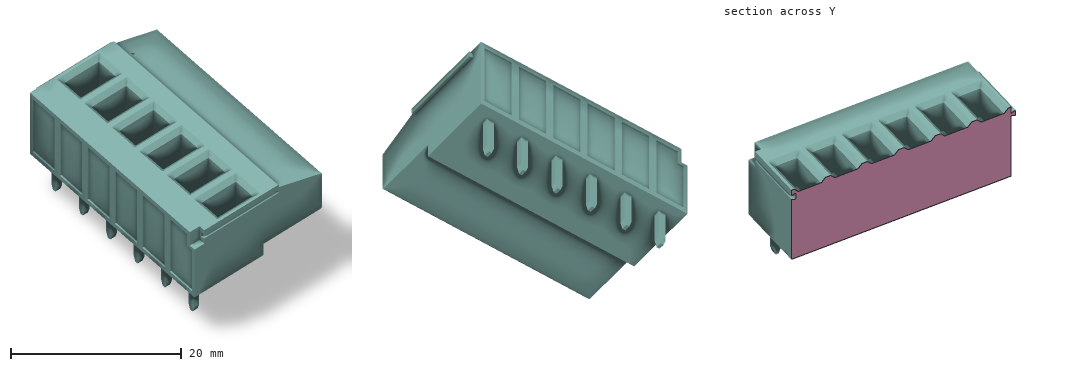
import cadquery as cq
import math


overall_length = 30.6
overall_height = 15.9
ways = 6
rib_reach = 0.6
body_length = overall_length - rib_reach
pitch = body_length / ways
way_centres = [(way + 0.5) * pitch for way in range(ways)]

body_depth = 19.5
body_height = 10.53
foot_depth = 10.53
rear_underside = 1.93
rear_fillet = 0.25
step_y = 12.9
step_drop = 0.45
step_fillet = 0.2
slope_angle = 18.0
slope_top = body_height - step_drop
slope_foot = slope_top - (body_depth - step_y) * math.tan(math.radians(slope_angle))
front_plate = 1.5

rib_height = 0.85
rib_top_margin = 0.73
rib_top = body_height - rib_top_margin
rib_bottom = rib_top - rib_height
rib_flare = 0.18

panel_width = 4.0
panel_height = 9.05
panel_depth = 0.2
panel_bottom = (body_height - panel_height) / 2
panel_side_margin = (pitch - panel_width) / 2
notch_width = 0.85
notch_height = 2.3
notch_wall_below = 0.43

opening_width = 4.25
opening_length = 6.52
opening_taper = 0.6
opening_front = 3.8
opening_y = opening_front + opening_length / 2
taper_depth = 0.6
well_depth = 4.9

pin_width = 1.0
pin_thickness = 0.8
pin_y = 2.0
pin_length = overall_height - body_height
tip_height = 0.85
tip_width = 0.43

mark_width = 0.55
mark_height = 0.4
mark_y = 13.5
mark_depth = 0.1


def box(x, y, z, length, depth, height):
    """Box with its lowest corner at (x, y, z)."""
    return cq.Workplane("XY").box(length, depth, height, centered=False).translate((x, y, z))


def make_housing():
    outline = [
        (0, 0),
        (foot_depth, 0),
        (foot_depth, rear_underside),
        (body_depth, rear_underside),
        (body_depth, slope_foot),
        (step_y, slope_top),
        (step_y, body_height),
        (0, body_height),
    ]
    housing = cq.Workplane("YZ").polyline(outline).close().extrude(body_length)
    housing = housing.faces(">Y").edges("|X").fillet(rear_fillet)
    return housing.faces(">Z").edges(">Y").fillet(step_fillet)


def make_dovetail(outer_x):
    """Bar along Y that is widest at outer_x and narrows towards +X."""
    root_x = outer_x + rib_reach
    section = [
        (outer_x, rib_bottom),
        (root_x, rib_bottom + rib_flare),
        (root_x, rib_top - rib_flare),
        (outer_x, rib_top),
    ]
    bar = cq.Workplane("XZ").polyline(section).close().extrude(front_plate - step_y)
    return bar.translate((0, front_plate, 0))


def make_end_notch():
    """Corner gap in the front plate that lets a neighbour's rib slide in."""
    return box(
        body_length - notch_width, 0, body_height - notch_height,
        notch_width, front_plate, notch_height,
    )


def make_panels():
    panels = cq.Workplane("XY")
    for x in way_centres:
        panels = panels.add(
            box(x - panel_width / 2, 0, panel_bottom, panel_width, panel_depth, panel_height)
        )
    panels = panels.combine()
    wall_x = body_length - notch_width - panel_side_margin
    wall_z = body_height - notch_height - notch_wall_below
    wall = box(wall_x, 0, wall_z, body_length - wall_x, panel_depth, body_height - wall_z)
    return panels.cut(wall)


def make_opening(x):
    """Four-sided funnel above a straight well."""
    well_width = opening_width - 2 * opening_taper
    well_length = opening_length - 2 * opening_taper
    funnel = (
        cq.Workplane("XY", origin=(x, opening_y, body_height))
        .rect(opening_width, opening_length)
        .workplane(offset=-taper_depth)
        .rect(well_width, well_length)
        .loft(ruled=True)
    )
    well = box(
        x - well_width / 2, opening_y - well_length / 2, body_height - well_depth,
        well_width, well_length, well_depth - taper_depth,
    )
    return funnel.union(well)


def make_pin(x):
    """Flat pin below the housing, tapered in width at its tip."""
    outline = [
        (x - pin_width / 2, 0),
        (x - pin_width / 2, tip_height - pin_length),
        (x - tip_width / 2, -pin_length),
        (x + tip_width / 2, -pin_length),
        (x + pin_width / 2, tip_height - pin_length),
        (x + pin_width / 2, 0),
    ]
    pin = cq.Workplane("XZ").polyline(outline).close().extrude(pin_thickness / 2, both=True)
    return pin.translate((0, pin_y, 0))


def make_mark():
    """Triangular recess in the rear slope, pointing back."""
    slope = math.tan(math.radians(slope_angle))
    apex_z = slope_top - (mark_y + mark_height - step_y) * slope
    x = way_centres[0]
    triangle = [
        (x - mark_width / 2, mark_y),
        (x + mark_width / 2, mark_y),
        (x, mark_y + mark_height),
    ]
    floor = cq.Workplane("XY").workplane(offset=apex_z - mark_depth)
    return floor.polyline(triangle).close().extrude(body_height - apex_z)


result = make_housing().union(make_dovetail(-rib_reach))
result = result.cut(make_dovetail(body_length - rib_reach))
result = result.cut(make_end_notch())
result = result.cut(make_panels())
result = result.cut(make_mark())
for centre in way_centres:
    result = result.cut(make_opening(centre))
    result = result.union(make_pin(centre))